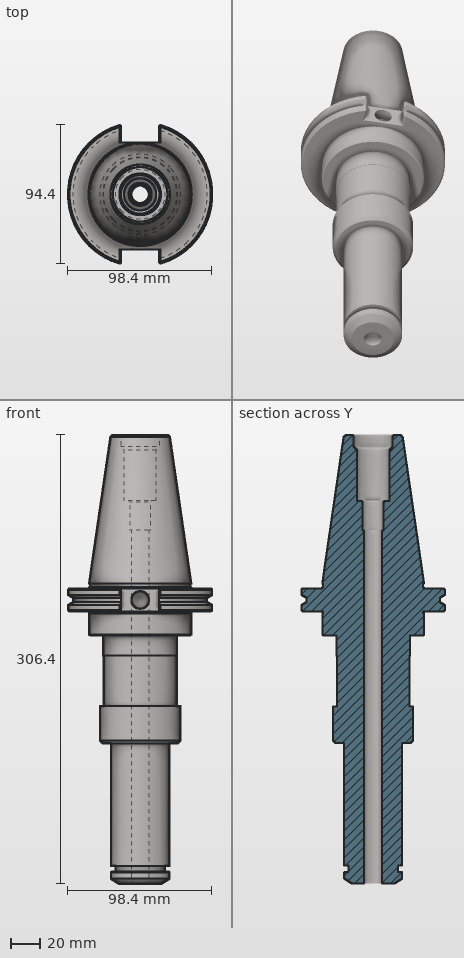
import cadquery as cq
import math


gauge_diameter = 69.85
taper_rate = 7 / 24
taper_height = 101.6
taper_end_chamfer = 1.5

flange_diameter = 98.425
flange_top = -3.175
flange_thickness = 15.875
flange_edge_chamfer = 1
groove_root_diameter = 91.6
groove_root_width = 2.9
groove_half_angle = 30

relief_diameter = 68.7
upper_relief_chamfer = 0.9
lower_relief_width = 0.9
lower_relief_chamfer = 0.5

collar_bottom = -35.4
collar_chamfer = 0.9
shoulder_diameter = 50.5
shoulder_bottom = -49.1
body_diameter = 50
sleeve_diameter = 55
sleeve_top = -83.5
sleeve_bottom = -109
sleeve_chamfer = 2
arbor_diameter = 40
neck_diameter = 34
neck_top = -192.5
neck_bottom = -196.5
end_ring_top_chamfer = 0.7
end_ring_bottom = -201.7
end_ring_bottom_chamfer = 0.7
tip_diameter = 28.8
overall_length = 306.42

slot_width = 25.9
front_slot_offset = 37.7
back_slot_offset = 35.5
slot_edge_chamfer = 1
dimple_diameter = 12
dimple_depth = 8
drill_point_angle = 118

pilot_diameter = 26.4
mouth_chamfer = 1
pilot_depth = 8
thread_diameter = 21.96
thread_depth = 45
coolant_counterbore_diameter = 14
coolant_counterbore_depth = 20
coolant_counterbore_chamfer = 0.85
coolant_diameter = 12

flange_bottom = flange_top - flange_thickness
flange_middle = flange_top - flange_thickness / 2
part_bottom = taper_height - overall_length


def turned(profile):
    """Revolve a closed (radius, height) outline about the Z axis."""
    return cq.Workplane("XZ").polyline(profile).close().revolve(360, (0, 0, 0), (0, 1, 0))


def make_shank():
    gauge_radius = gauge_diameter / 2
    relief_radius = relief_diameter / 2
    end_radius = gauge_radius - taper_height * taper_rate / 2
    shoulder_height = taper_height - taper_end_chamfer
    shoulder_radius = gauge_radius - shoulder_height * taper_rate / 2
    return turned([
        (0, flange_top),
        (relief_radius + upper_relief_chamfer, flange_top),
        (relief_radius, flange_top + upper_relief_chamfer),
        (relief_radius, 0),
        (gauge_radius, 0),
        (shoulder_radius, shoulder_height),
        (end_radius - taper_end_chamfer, taper_height),
        (0, taper_height),
    ])


def make_slot(side, floor_offset):
    """Cutter for one drive slot; side is -1 (front) or +1 (back)."""
    slot_reach = flange_diameter / 2
    half_width = slot_width / 2
    mouth_half_width = half_width + slot_edge_chamfer
    rim_offset = math.sqrt((flange_diameter / 2) ** 2 - mouth_half_width ** 2)

    channel = (
        cq.Workplane("XY", origin=(0, 0, flange_bottom))
        .polyline([
            (-half_width, side * floor_offset),
            (half_width, side * floor_offset),
            (half_width, side * (rim_offset - slot_edge_chamfer)),
            (mouth_half_width, side * rim_offset),
            (mouth_half_width, side * slot_reach),
            (-mouth_half_width, side * slot_reach),
            (-mouth_half_width, side * rim_offset),
            (-half_width, side * (rim_offset - slot_edge_chamfer)),
        ])
        .close()
        .extrude(flange_thickness)
    )

    flare = (
        cq.Workplane("XZ", origin=(0, side * floor_offset, 0))
        .polyline([
            (-mouth_half_width, flange_bottom),
            (mouth_half_width, flange_bottom),
            (half_width, flange_bottom + slot_edge_chamfer),
            (half_width, flange_top - slot_edge_chamfer),
            (mouth_half_width, flange_top),
            (-mouth_half_width, flange_top),
            (-half_width, flange_top - slot_edge_chamfer),
            (-half_width, flange_bottom + slot_edge_chamfer),
        ])
        .close()
        .extrude(-side * (slot_reach - floor_offset))
    )
    return channel.union(flare)


def make_flange():
    rim_radius = flange_diameter / 2
    root_radius = groove_root_diameter / 2
    root_half_width = groove_root_width / 2
    flank_width = (rim_radius - root_radius) * math.tan(math.radians(groove_half_angle))
    rim_half_width = root_half_width + flank_width
    return turned([
        (0, flange_bottom),
        (rim_radius - flange_edge_chamfer, flange_bottom),
        (rim_radius, flange_bottom + flange_edge_chamfer),
        (rim_radius, flange_middle - rim_half_width),
        (root_radius, flange_middle - root_half_width),
        (root_radius, flange_middle + root_half_width),
        (rim_radius, flange_middle + rim_half_width),
        (rim_radius, flange_top - flange_edge_chamfer),
        (rim_radius - flange_edge_chamfer, flange_top),
        (0, flange_top),
    ])


def make_arbor():
    collar_radius = gauge_diameter / 2
    relief_radius = relief_diameter / 2
    relief_bottom = flange_bottom - lower_relief_width
    shoulder_radius = shoulder_diameter / 2
    body_radius = body_diameter / 2
    sleeve_radius = sleeve_diameter / 2
    arbor_radius = arbor_diameter / 2
    neck_radius = neck_diameter / 2
    return turned([
        (0, flange_bottom),
        (relief_radius, flange_bottom),
        (relief_radius, relief_bottom),
        (collar_radius, relief_bottom - lower_relief_chamfer),
        (collar_radius, collar_bottom + collar_chamfer),
        (collar_radius - collar_chamfer, collar_bottom),
        (shoulder_radius, collar_bottom),
        (shoulder_radius, shoulder_bottom),
        (body_radius, shoulder_bottom),
        (body_radius, sleeve_top),
        (sleeve_radius, sleeve_top),
        (sleeve_radius, sleeve_bottom + sleeve_chamfer),
        (sleeve_radius - sleeve_chamfer, sleeve_bottom),
        (arbor_radius, sleeve_bottom),
        (arbor_radius, neck_top),
        (neck_radius, neck_top),
        (neck_radius, neck_bottom),
        (arbor_radius - end_ring_top_chamfer, neck_bottom),
        (arbor_radius, neck_bottom - end_ring_top_chamfer),
        (arbor_radius, end_ring_bottom + end_ring_bottom_chamfer),
        (arbor_radius - end_ring_bottom_chamfer, end_ring_bottom),
        (tip_diameter / 2, part_bottom),
        (0, part_bottom),
    ])


def make_bore():
    pilot_radius = pilot_diameter / 2
    thread_radius = thread_diameter / 2
    counterbore_radius = coolant_counterbore_diameter / 2
    coolant_radius = coolant_diameter / 2
    pilot_floor = taper_height - pilot_depth
    thread_floor = taper_height - thread_depth
    counterbore_floor = thread_floor - coolant_counterbore_depth
    return turned([
        (0, part_bottom),
        (coolant_radius, part_bottom),
        (coolant_radius, counterbore_floor),
        (counterbore_radius, counterbore_floor),
        (counterbore_radius, thread_floor - coolant_counterbore_chamfer),
        (counterbore_radius + coolant_counterbore_chamfer, thread_floor),
        (thread_radius, thread_floor),
        (thread_radius, pilot_floor - (pilot_radius - thread_radius)),
        (pilot_radius, pilot_floor),
        (pilot_radius, taper_height - mouth_chamfer),
        (pilot_radius + mouth_chamfer, taper_height),
        (0, taper_height),
    ])


def make_dimple():
    """Cutter for the blind drilled hole, entering the front slot floor along +Y."""
    radius = dimple_diameter / 2
    point_length = radius / math.tan(math.radians(drill_point_angle / 2))
    entry = -front_slot_offset
    return (
        cq.Workplane("XY", origin=(0, 0, flange_middle))
        .polyline([
            (0, entry),
            (radius, entry),
            (radius, entry + dimple_depth),
            (0, entry + dimple_depth + point_length),
        ])
        .close()
        .revolve(360, (0, 0, 0), (0, 1, 0))
    )


flange = make_flange()
flange = flange.cut(make_slot(-1, front_slot_offset))
flange = flange.cut(make_slot(1, back_slot_offset))
result = make_shank().union(flange).union(make_arbor())
result = result.cut(make_bore()).cut(make_dimple())